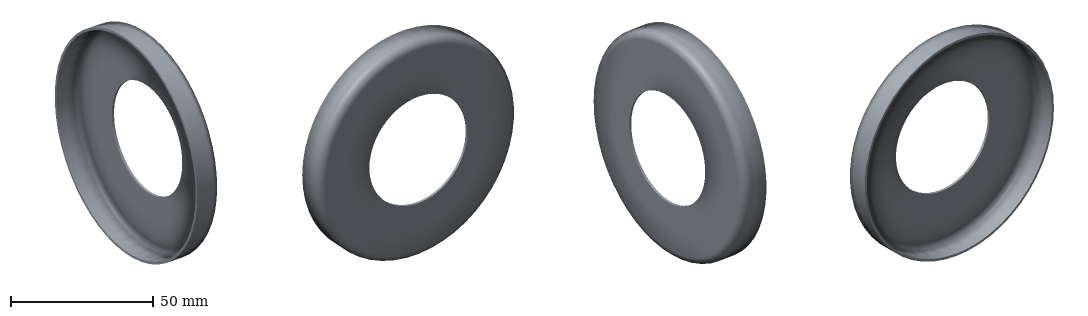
import cadquery as cq

outer_diameter = 87.0
height = 10.0
hole_diameter = 43.0
wall = 1.0
outer_round = 3.05

inner_round = outer_round - wall
inner_diameter = outer_diameter - 2 * wall
cavity_depth = height - wall


def rounded_disc(diameter, depth, edge_round):
    """Disc along +Y from the open rim at Y = 0, with its far edge rounded."""
    disc = cq.Workplane("XZ").circle(diameter / 2).extrude(-depth)
    return disc.faces(">Y").edges().fillet(edge_round)


shell = rounded_disc(outer_diameter, height, outer_round)
cavity = rounded_disc(inner_diameter, cavity_depth, inner_round)
cap = shell.cut(cavity)

hole = cq.Workplane("XZ").circle(hole_diameter / 2).extrude(-height)

result = cap.cut(hole)